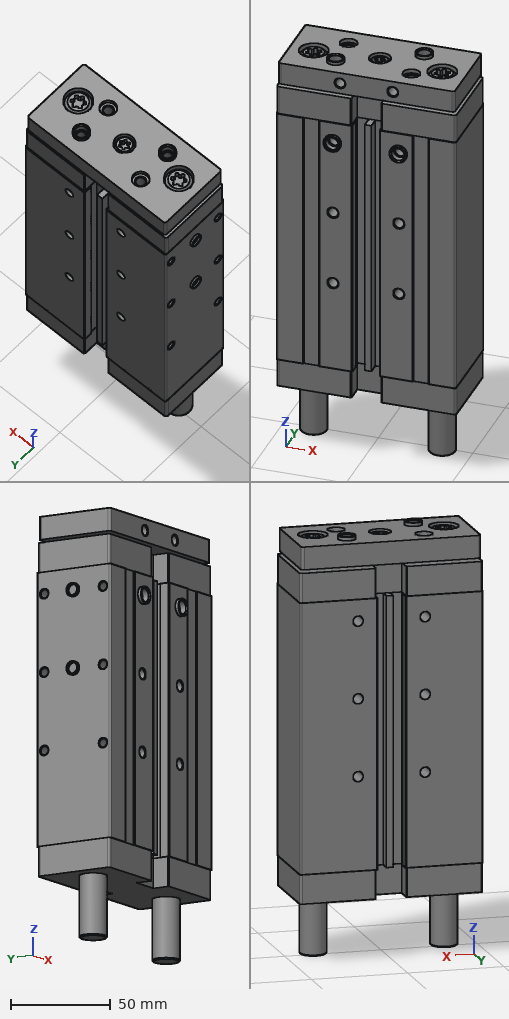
import cadquery as cq
import math

total_height = 217.8
sleeve_stand_out = 2.0
rod_overhang = 31.8
cap_height = 15.2
profile_length = 140.0
plate_thickness = 11.8

lower_cap_z = rod_overhang
profile_z = lower_cap_z + cap_height
profile_top = profile_z + profile_length
upper_cap_z = profile_top
plate_top = total_height - sleeve_stand_out
plate_z = plate_top - plate_thickness

width = 95.0
profile_depth = 43.8
cap_inset = 0.7
cap_depth = profile_depth - 2 * cap_inset
plate_width = 93.2
plate_depth = 42.3
profile_corner = 0.9
cap_corner = 1.3

channel_floor = 12.2
cap_channel_width = 15.7
channel_mouth_width = 14.4
channel_lip = 5.2
edge_chamfer = 0.55
rib_width = 3.5
rib_recess = 3.5

slot_x = 29.0
slot_width = 7.8
slot_depth = 0.7

guide_x = 34.0
guide_y = -3.0
guide_diameter = 14.0
guide_chamfer = 0.7
piston_rod_diameter = 10.0

hole_pitch_z = 40.0
hole_top_z = 176.0
hole_rows = [hole_top_z - row * hole_pitch_z for row in range(3)]
front_hole_x = 17.5
side_hole_y = 17.5
hole_chamfer = 0.5
front_hole_diameter = 5.2
side_hole_diameter = 4.4
side_hole_depth = 8.7
drill_point_angle = 118.0

plate_hole_x = 20.0
plate_hole_y = 10.0
plate_hole_diameter = 5.0
plate_front_hole_x = 14.0
plate_front_hole_z = 210.0
plate_front_hole_depth = 8.7

sleeve_diameter = 9.0
sleeve_bore = 6.8
sleeve_seat_depth = 2.2
sleeve_outer_chamfer = 0.2
sleeve_inner_chamfer = 0.7

plug_diameter = 7.0
plug_recess_diameter = 5.7
plug_stand_out = 1.3
plug_seat_depth = 2.2

socket_depth = 3.3
head_recess = 0.9
head_height = 5.5
guide_counterbore = 15.0
guide_head = 14.0
guide_head_chamfer = 1.5
guide_socket = 8.0
piston_counterbore = 11.0
piston_head = 10.0
piston_head_chamfer = 0.9
piston_socket = 5.9
waist_ratio = 0.72
lobe_ratio = 0.24

LEFT, RIGHT = -1, 1
FRONT, BACK = -1, 1
TOWARD_BACK = cq.Vector(0, 1, 0)
TOWARD_FRONT = -TOWARD_BACK
TOWARD_RIGHT = cq.Vector(1, 0, 0)
TOWARD_LEFT = -TOWARD_RIGHT
UP = cq.Vector(0, 0, 1)
DOWN = -UP


def block(size_x, size_y, height, x, y, z):
    """A box centred on x and y that stands on z."""
    return cq.Workplane("XY").box(size_x, size_y, height, centered=(True, True, False)).translate((x, y, z))


def drill(diameter, depth, start, direction):
    """A flat-ended cylinder from a start point along a direction."""
    return cq.Workplane(cq.Solid.makeCylinder(diameter / 2, depth, cq.Vector(*start), direction))


def through_hole(diameter, depth, start, direction):
    """A straight hole with a chamfered rim at its start."""
    mouth_radius = diameter / 2 + hole_chamfer
    mouth = cq.Solid.makeCone(mouth_radius, diameter / 2, hole_chamfer, cq.Vector(*start), direction)
    return drill(diameter, depth, start, direction).union(cq.Workplane(mouth))


def blind_hole(diameter, depth, start, direction):
    """A chamfered hole with a drill point beyond its depth."""
    point_height = diameter / 2 / math.tan(math.radians(drill_point_angle / 2))
    point_base = cq.Vector(*start) + direction * depth
    point = cq.Solid.makeCone(diameter / 2, 0, point_height, point_base, direction)
    return through_hole(diameter, depth, start, direction).union(cq.Workplane(point))


def channel_cutter(mouth_width, floor, face, z, height, side):
    """A straight channel with chamfered rims from the face at this distance down to the floor."""
    half = mouth_width / 2
    outline = [
        (-half, floor),
        (-half, face - edge_chamfer),
        (-half - edge_chamfer, face),
        (half + edge_chamfer, face),
        (half, face - edge_chamfer),
        (half, floor),
    ]
    corners = [(x, side * y) for x, y in outline]
    return cq.Workplane("XY", origin=(0, 0, z)).polyline(corners).close().extrude(height)


def rod_clearances():
    """The two guide rod bores through the whole housing."""
    bores = drill(guide_diameter, total_height, (-guide_x, guide_y, 0), UP)
    return bores.union(drill(guide_diameter, total_height, (guide_x, guide_y, 0), UP))


def placed(solid, seat_face, outward, seat_depth):
    """A solid built along +Z, moved so that it points outward from the bottom of its seat."""
    base = cq.Vector(*seat_face) - outward * seat_depth
    plane = cq.Plane(origin=base.toTuple(), normal=outward.toTuple())
    return solid.located(cq.Location(plane))


def make_sleeve(seat_face, outward):
    """A ring seated in its recess, with both edges of its rim chamfered."""
    length = sleeve_seat_depth + sleeve_stand_out
    ring = cq.Workplane("XY").circle(sleeve_diameter / 2).extrude(length)
    ring = ring.faces(">Z").chamfer(sleeve_outer_chamfer)
    lead_in = cq.Solid.makeCone(
        sleeve_bore / 2,
        sleeve_bore / 2 + sleeve_inner_chamfer,
        sleeve_inner_chamfer,
        cq.Vector(0, 0, length - sleeve_inner_chamfer),
        UP,
    )
    ring = ring.cut(drill(sleeve_bore, length, (0, 0, 0), UP)).cut(cq.Workplane(lead_in))
    return placed(ring.val(), seat_face, outward, sleeve_seat_depth)


plate_sleeve_points = [(side * plate_hole_x, side * plate_hole_y, plate_top) for side in (LEFT, RIGHT)]
front_sleeve_points = [(side * front_hole_x, -profile_depth / 2, hole_top_z) for side in (LEFT, RIGHT)]
plate_sleeves = [make_sleeve(point, UP) for point in plate_sleeve_points]
front_sleeves = [make_sleeve(point, TOWARD_FRONT) for point in front_sleeve_points]


def make_plug(seat_face):
    """A disc seated in the left side, with a shallow recess in its outer end."""
    length = plug_seat_depth + plug_stand_out
    plug = cq.Workplane("XY").circle(plug_diameter / 2).extrude(length)
    plug = plug.cut(drill(plug_recess_diameter, plug_stand_out, (0, 0, length), DOWN))
    return placed(plug.val(), seat_face, TOWARD_LEFT, plug_seat_depth)


plug_points = [(-width / 2, 0, z) for z in hole_rows[:2]]
plugs = [make_plug(point) for point in plug_points]


def cut_ribbed_channel(body, side):
    """Cut the ribbed channel on the front or the back of the profile."""
    face = profile_depth / 2
    mouth = channel_cutter(channel_mouth_width, channel_floor, face, profile_z, profile_length, side)
    wide_depth = face - channel_lip - channel_floor
    wide_middle = side * (channel_floor + wide_depth / 2)
    wide_part = block(cap_channel_width, wide_depth, profile_length, 0, wide_middle, profile_z)
    rib_height = face - rib_recess - channel_floor
    rib = block(rib_width, rib_height, profile_length, 0, side * (channel_floor + rib_height / 2), profile_z)
    return body.cut(mouth.union(wide_part).cut(rib))


def make_profile():
    front = -profile_depth / 2
    body = block(width, profile_depth, profile_length, 0, 0, profile_z).edges("|Z").fillet(profile_corner)
    for side in (FRONT, BACK):
        body = cut_ribbed_channel(body, side)
    slot = channel_cutter(slot_width, profile_depth / 2 - slot_depth, profile_depth / 2, profile_z,
                          profile_length, FRONT)
    for side in (LEFT, RIGHT):
        body = body.cut(slot.translate((side * slot_x, 0, 0)))
        for z in hole_rows:
            start = (side * front_hole_x, front, z)
            body = body.cut(through_hole(front_hole_diameter, profile_depth, start, TOWARD_BACK))
    for point in front_sleeve_points:
        body = body.cut(drill(sleeve_diameter, sleeve_seat_depth, point, TOWARD_BACK))
    for z in hole_rows:
        for y in (-side_hole_y, side_hole_y):
            body = body.cut(blind_hole(side_hole_diameter, side_hole_depth, (-width / 2, y, z), TOWARD_RIGHT))
    for point in plug_points:
        body = body.cut(drill(plug_diameter, plug_seat_depth, point, TOWARD_RIGHT))
    return body.cut(rod_clearances())


def make_cap(z):
    cap = block(width, cap_depth, cap_height, 0, 0, z).edges("|Z").fillet(cap_corner)
    for side in (FRONT, BACK):
        cap = cap.cut(channel_cutter(cap_channel_width, channel_floor, cap_depth / 2, z, cap_height, side))
    return cap.cut(rod_clearances())


def make_upper_cap():
    return make_cap(upper_cap_z).cut(drill(piston_rod_diameter, cap_height, (0, 0, upper_cap_z), UP))


def six_lobed_socket(diameter, first_lobe_angle):
    """A six-lobed recess cutter whose first lobe lies at the given angle."""
    lobe_radius = diameter * lobe_ratio / 2
    lobe_distance = diameter / 2 - lobe_radius
    core = cq.Workplane("XY").circle(diameter * waist_ratio / 2).extrude(-socket_depth)
    lobes = (
        cq.Workplane("XY")
        .polarArray(lobe_distance, first_lobe_angle, 360, 6)
        .circle(lobe_radius)
        .extrude(-socket_depth)
    )
    return core.union(lobes)


def add_screw(plate, x, y, counterbore, head, chamfer, socket, first_lobe_angle):
    """Sink a screw head into a counterbore in the top of the plate."""
    pocket_depth = head_recess + head_height
    plate = plate.cut(drill(counterbore, pocket_depth, (x, y, plate_top), DOWN))
    screw = cq.Workplane("XY").circle(head / 2).extrude(-head_height).faces(">Z").chamfer(chamfer)
    screw = screw.cut(six_lobed_socket(socket, first_lobe_angle))
    return plate.union(screw.translate((x, y, plate_top - head_recess)))


def make_carriage():
    plate = block(plate_width, plate_depth, plate_thickness, 0, 0, plate_z).edges("|Z").fillet(cap_corner)
    for x in (-plate_hole_x, plate_hole_x):
        for y in (-plate_hole_y, plate_hole_y):
            seat_floor = (x, y, plate_top - sleeve_seat_depth)
            plate = plate.cut(drill(sleeve_diameter, sleeve_seat_depth, (x, y, plate_top), DOWN))
            plate = plate.cut(through_hole(plate_hole_diameter, plate_thickness, seat_floor, DOWN))
    for x in (-plate_front_hole_x, plate_front_hole_x):
        start = (x, -plate_depth / 2, plate_front_hole_z)
        plate = plate.cut(blind_hole(plate_hole_diameter, plate_front_hole_depth, start, TOWARD_BACK))
    for x in (-guide_x, guide_x):
        plate = add_screw(plate, x, guide_y, guide_counterbore, guide_head, guide_head_chamfer, guide_socket, 90)
        rod = cq.Workplane("XY").circle(guide_diameter / 2).extrude(plate_z).faces("<Z").chamfer(guide_chamfer)
        plate = plate.union(rod.translate((x, guide_y, 0)))
    plate = add_screw(plate, 0, 0, piston_counterbore, piston_head, piston_head_chamfer, piston_socket, 0)
    return plate.union(drill(piston_rod_diameter, plate_z - profile_top, (0, 0, profile_top), UP))


profile = make_profile()
lower_cap = make_cap(lower_cap_z)
upper_cap = make_upper_cap()
carriage = make_carriage()

result = cq.Compound.makeCompound([
    profile.val(),
    lower_cap.val(),
    upper_cap.val(),
    carriage.val(),
    *plate_sleeves,
    *front_sleeves,
    *plugs,
])